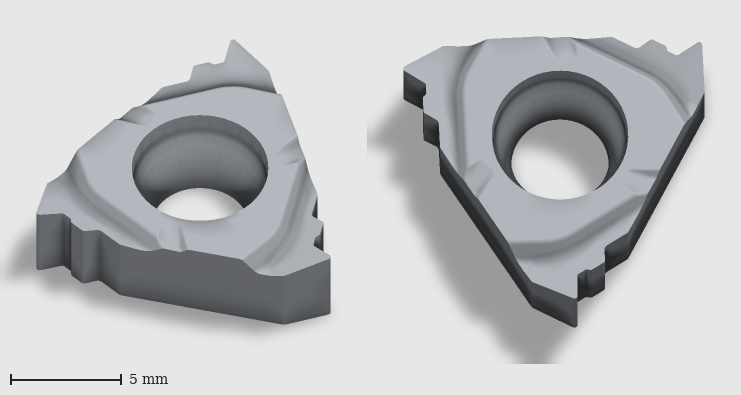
import cadquery as cq
import math

TEETH = 3
THICKNESS = 4.11
SIDE_DISTANCE = 9.525 / 2
SIDE_ANGLE = 60

FLANK_DISTANCE = 6.63
FLANK_ANGLE = 60
TIP_DEPTH = 7.02
ROOT_DEPTH = 5.91
STEP_DEPTH = 6.08
SHOULDER_DEPTH = 5.42
ROOT_START_X = -2.91
ROOT_END_X = -2.43
STEP_END_X = -1.52
TIP_RADIUS = 0.145
STEP_RADIUS = 0.13
CORNER_RADIUS = 0.25

LAND_SLOPE = 14.3
LAND_HEIGHT = 3.58
FLOOR_HEIGHT = 3.3
WALL_TAPER = 37
WALL_DISTANCE = 4.25
WALL_CORNER_X = -2.08
WALL_CORNER_RADIUS = 2.48
WALL_TURN = 31.5
WALL_TOP_RADIUS = 0.27
WALL_FOOT_RADIUS = 0.37
POCKET_MARGIN = 1

NOTCH_START_X = 1.3
NOTCH_START_Y = -3.32
NOTCH_DIRECTION = -46
NOTCH_WIDTH = 0.88
NOTCH_SLOPE = 11.3
NOTCH_WALL_RUN = 1.1
NOTCH_LENGTH = 2.5
NOTCH_FLOOR_RADIUS = 0.25
NOTCH_RIM_RADIUS = 0.15

BORE_RADIUS = 4.4 / 2
BORE_TOP = 0.54
SEAT_RADIUS = 2.905
SEAT_TOP = 2.87
SEAT_CURVE = 4.2
MOUTH_FOOT_RADIUS = 3.0
MOUTH_FOOT_HEIGHT = 3.12
MOUTH_RADIUS = 3.08

REACH = 8


def rad(angle):
    return math.radians(angle)


def turned(point, angle):
    """A plan point turned about the hole axis."""
    x, y = point
    cosine = math.cos(rad(angle))
    sine = math.sin(rad(angle))
    return (x * cosine - y * sine, x * sine + y * cosine)


def around(shape):
    """Copies of a workplane shape at each tooth."""
    return [shape.rotate((0, 0, 0), (0, 0, 1), 360 / TEETH * i) for i in range(TEETH)]


def flank_x(depth):
    """X of the long flank at a given depth below the hole axis."""
    return -(FLANK_DISTANCE - depth * math.cos(rad(FLANK_ANGLE))) / math.sin(rad(FLANK_ANGLE))


def tooth_corners():
    """Corners of one tooth, each with its rounding radius."""
    side_sine = math.sin(rad(SIDE_ANGLE))
    flank_start = (FLANK_DISTANCE - SIDE_DISTANCE * side_sine) / math.cos(rad(FLANK_ANGLE))
    shoulder_start = STEP_END_X + (STEP_DEPTH - SHOULDER_DEPTH) / math.tan(rad(FLANK_ANGLE))
    shoulder_end = (SIDE_DISTANCE - SHOULDER_DEPTH * side_sine) / math.cos(rad(SIDE_ANGLE))
    return [
        (-SIDE_DISTANCE, -flank_start, CORNER_RADIUS),
        (flank_x(TIP_DEPTH), -TIP_DEPTH, TIP_RADIUS),
        (ROOT_START_X, -ROOT_DEPTH, STEP_RADIUS),
        (ROOT_END_X, -ROOT_DEPTH, STEP_RADIUS),
        (ROOT_END_X + STEP_DEPTH - ROOT_DEPTH, -STEP_DEPTH, STEP_RADIUS),
        (STEP_END_X, -STEP_DEPTH, STEP_RADIUS),
        (shoulder_start, -SHOULDER_DEPTH, CORNER_RADIUS),
        (shoulder_end, -SHOULDER_DEPTH, CORNER_RADIUS),
    ]


def blank():
    """Prism of the whole outline with its upright corners rounded."""
    corners = []
    for i in range(TEETH):
        for x, y, radius in tooth_corners():
            corners.append((turned((x, y), 360 / TEETH * i), radius))
    body = cq.Workplane("XY").polyline([point for point, _ in corners]).close().extrude(THICKNESS)
    for size in (TIP_RADIUS, STEP_RADIUS, CORNER_RADIUS):
        places = [point for point, radius in corners if radius == size]
        picker = cq.selectors.NearestToPointSelector
        edges = []
        for x, y in places:
            edges += body.edges("|Z").edges(picker((x, y, THICKNESS / 2))).vals()
        body = body.newObject(edges).fillet(size)
    return body


def wall_section(workplane, offset):
    """Closed section of the open space in front of the wall; offset is the wall's place on the local x axis."""
    slope_angle = 90 - WALL_TAPER
    tangent = WALL_TOP_RADIUS * math.tan(rad(slope_angle / 2))
    drop = THICKNESS / 2
    return (
        workplane.moveTo(offset - tangent, THICKNESS)
        .threePointArc(
            (
                offset - tangent + WALL_TOP_RADIUS * math.sin(rad(slope_angle / 2)),
                THICKNESS - WALL_TOP_RADIUS * (1 - math.cos(rad(slope_angle / 2))),
            ),
            (offset + tangent * math.cos(rad(slope_angle)), THICKNESS - tangent * math.sin(rad(slope_angle))),
        )
        .lineTo(offset + drop * math.tan(rad(WALL_TAPER)), THICKNESS - drop)
        .lineTo(offset + REACH, THICKNESS - drop)
        .lineTo(offset + REACH, THICKNESS)
        .close()
    )


def wall_front():
    """Open space in front of the whole pocket wall: straight, arc, straight."""
    centre = (WALL_CORNER_X, WALL_CORNER_RADIUS - WALL_DISTANCE, 0)
    outwards = (0, -1, 0)
    straight_plane = cq.Workplane(cq.Plane(centre, outwards, (-1, 0, 0)))
    straight = wall_section(straight_plane, WALL_CORNER_RADIUS).extrude(-REACH)
    tail = wall_section(straight_plane, WALL_CORNER_RADIUS).extrude(REACH)
    tail_end = (centre[0], centre[1], 1)
    tail = tail.rotate(centre, tail_end, -WALL_TURN)
    corner = wall_section(straight_plane, WALL_CORNER_RADIUS).revolve(WALL_TURN, (0, 0, 0), (0, -1, 0))
    return straight.union(corner).union(tail)


def chip_pocket():
    """Material removed above one tooth."""
    slope = math.tan(rad(LAND_SLOPE))
    floor_start = -SHOULDER_DEPTH + (LAND_HEIGHT - FLOOR_HEIGHT) / slope
    outer_height = LAND_HEIGHT + (TIP_DEPTH - SHOULDER_DEPTH) * slope
    space = (
        cq.Workplane("YZ", origin=(-SIDE_DISTANCE - POCKET_MARGIN, 0, 0))
        .moveTo(-TIP_DEPTH, outer_height)
        .lineTo(floor_start, FLOOR_HEIGHT)
        .lineTo(-POCKET_MARGIN, FLOOR_HEIGHT)
        .lineTo(-POCKET_MARGIN, THICKNESS)
        .lineTo(-TIP_DEPTH, THICKNESS)
        .close()
        .extrude(2 * REACH)
    )
    pocket = space.intersect(wall_front())
    foot_zone = cq.selectors.BoxSelector(
        (-REACH, -WALL_DISTANCE - POCKET_MARGIN, FLOOR_HEIGHT - POCKET_MARGIN),
        (REACH, 0, LAND_HEIGHT),
        boundingbox=True,
    )
    return pocket.edges(foot_zone).edges("not |Y").fillet(WALL_FOOT_RADIUS)


def edge_notch():
    """Material removed by one notch: a flat sloping floor between two inclined walls."""
    heading = rad(NOTCH_DIRECTION)
    fall = rad(NOTCH_SLOPE)
    inner_end = (NOTCH_START_X, NOTCH_START_Y, THICKNESS)
    sideways = (-math.sin(heading), math.cos(heading), 0)
    downhill = (math.cos(heading) * math.cos(fall), math.sin(heading) * math.cos(fall), -math.sin(fall))
    half_floor = NOTCH_WIDTH / 2
    half_top = half_floor + NOTCH_WALL_RUN
    notch = (
        cq.Workplane(cq.Plane(inner_end, sideways, downhill))
        .polyline([(-half_floor, 0), (half_floor, 0), (half_top, 1), (-half_top, 1)])
        .close()
        .extrude(NOTCH_LENGTH)
    )
    along_floor = cq.selectors.ParallelDirSelector(cq.Vector(*downhill))
    return notch.edges(along_floor).edges("<Z").fillet(NOTCH_FLOOR_RADIUS)


def screw_hole():
    """Stepped hole: plain bore, seat curving outwards, rounded foot and slightly conical mouth."""
    seat_height = SEAT_TOP - BORE_TOP
    half_angle = math.asin(seat_height / SEAT_CURVE) / 2
    seat_middle = (
        BORE_RADIUS + SEAT_CURVE * (1 - math.cos(half_angle)),
        BORE_TOP + SEAT_CURVE * math.sin(half_angle),
    )
    return (
        cq.Workplane("XZ")
        .lineTo(BORE_RADIUS, 0)
        .lineTo(BORE_RADIUS, BORE_TOP)
        .threePointArc(seat_middle, (SEAT_RADIUS, SEAT_TOP))
        .tangentArcPoint((MOUTH_FOOT_RADIUS, MOUTH_FOOT_HEIGHT), relative=False)
        .lineTo(MOUTH_RADIUS, THICKNESS)
        .lineTo(0, THICKNESS)
        .close()
        .revolve(360, (0, 0, 0), (0, 1, 0))
    )


def notch_rims(body):
    """Top edges at the inner end of each notch; the rest of each rim continues them smoothly."""
    start = (NOTCH_START_X, NOTCH_START_Y)
    edges = []
    for i in range(TEETH):
        x, y = turned(start, 360 / TEETH * i)
        picker = cq.selectors.NearestToPointSelector((x, y, THICKNESS))
        edges += body.faces(">Z").edges(picker).vals()
    return body.newObject(edges)


result = blank().cut(screw_hole())
for cutter in around(chip_pocket()) + around(edge_notch()):
    result = result.cut(cutter)
result = notch_rims(result).fillet(NOTCH_RIM_RADIUS)